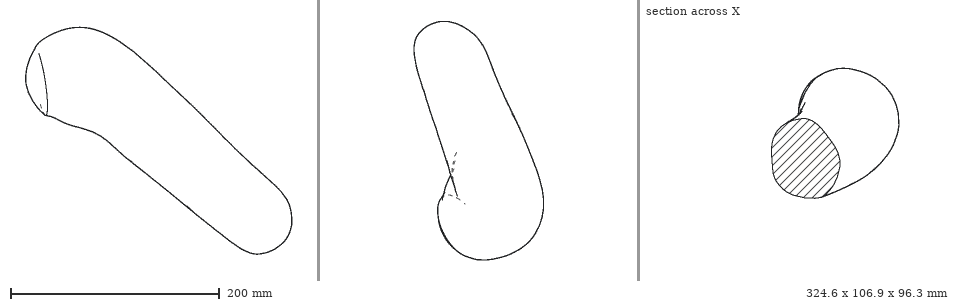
import cadquery as cq
import math

HEAD_SECTIONS = [
    ((2.2, 34), (56.5, 1.3), 17.5, 85, 0),
    ((0.2, 49), (71, 9.5), 9.5, 92.5, 0),
    ((5, 69), (84, 15), 4.5, 96, 0),
    ((18.5, 88.5), (98, 22), 1.8, 96, 0),
    ((48, 103.2), (112, 26.3), 0.3, 93, 0.04),
    ((88, 107.1), (121, 27.9), 0.1, 88, 0.08),
    ((120, 106.2), (133, 28.4), 0.5, 84.6, 0.1),
]
GRIP_SECTIONS = [
    (150, 28.5, 104.5, 1.3, 82.5, 0.1),
    (175, 28.3, 102.2, 2.5, 80.9, 0.1),
    (200, 27.8, 99.5, 3.8, 79.5, 0.1),
    (225, 27.2, 97.2, 5, 78, 0.1),
    (250, 26.5, 95.6, 6, 76.4, 0.09),
    (272, 25.9, 94.7, 7.4, 74.2, 0.08),
    (288, 25.6, 93.2, 9, 72.4, 0.07),
    (302, 26.5, 88.8, 11.3, 70.4, 0.06),
    (312, 29.5, 82, 16.5, 65.5, 0.06),
    (318, 34, 76.5, 22, 60.5, 0.06),
]
HEAD_DOME_HEIGHT = 13.9
HEAD_DOME_FULLNESS = 2
TIP_DOME_FULLNESS = 3
TIP_X = 324.52

CORNER_ANGLES = (38, 135, 225, 315)
POINT_STEPS = 4
SHOULDER_ANGLE = math.radians(45)
TANGENT_STEP = 0.001
DOME_RINGS = (0.25, 0.5, 0.75)
DOME_SPOKES = 12


class Section:
    """Upright oval between an outer and an inner plan point, with unequal diagonal shoulders."""

    def __init__(self, outer, inner, bottom, top, lean):
        self.lean = lean
        self.center = cq.Vector((outer[0] + inner[0]) / 2, (outer[1] + inner[1]) / 2, (bottom + top) / 2)
        self.across = cq.Vector(outer[0] - inner[0], outer[1] - inner[1], 0) / 2
        self.up = cq.Vector(0, 0, (top - bottom) / 2)
        self.forward = self.up.cross(self.across).normalized() * -1

    def point(self, angle, reach=1.0):
        """Point at a parameter angle, at a fraction of the way out to the oval."""
        shoulder = math.sin(2 * angle) ** 2 * math.cos(angle - SHOULDER_ANGLE)
        radius = reach * (1 - self.lean * shoulder)
        return self.center + self.across * (radius * math.cos(angle)) + self.up * (radius * math.sin(angle))

    def tangent(self, angle):
        """Direction of the outline at a parameter angle."""
        return self.point(angle + TANGENT_STEP) - self.point(angle - TANGENT_STEP)

    def wire(self):
        """Closed outline of four curves meeting at the diagonal corners."""
        edges = []
        next_corners = CORNER_ANGLES[1:] + (CORNER_ANGLES[0] + 360,)
        for start, end in zip(CORNER_ANGLES, next_corners):
            step = (end - start) / POINT_STEPS
            angles = [math.radians(start + step * i) for i in range(POINT_STEPS + 1)]
            points = [self.point(a) for a in angles]
            ends = [self.tangent(angles[0]).normalized(), self.tangent(angles[-1]).normalized()]
            edges.append(cq.Edge.makeSpline(points, tangents=ends))
        return cq.Wire.assembleEdges(edges)


def dome(section, boundary, height, fullness):
    """Rounded cap over an end section; a negative height bulges backward."""
    points = [section.center + section.forward * height]
    for reach in DOME_RINGS:
        rise = height * (1 - reach**fullness)
        for spoke in range(DOME_SPOKES):
            angle = 2 * math.pi * spoke / DOME_SPOKES
            points.append(section.point(angle, reach) + section.forward * rise)
    return cq.Face.makeNSidedSurface(boundary, points)


sections = [Section(*values) for values in HEAD_SECTIONS]
for x, inner_y, outer_y, bottom, top, lean in GRIP_SECTIONS:
    sections.append(Section((x, outer_y), (x, inner_y), bottom, top, lean))

loft = cq.Solid.makeLoft([s.wire() for s in sections])
sides = [f for f in loft.Faces() if f.geomType() != "PLANE"]
ends = sorted((f for f in loft.Faces() if f.geomType() == "PLANE"), key=lambda f: f.Center().x)
tip_dome_height = TIP_X - sections[-1].center.x
head_cap = dome(sections[0], ends[0].Edges(), -HEAD_DOME_HEIGHT, HEAD_DOME_FULLNESS)
tip_cap = dome(sections[-1], ends[1].Edges(), tip_dome_height, TIP_DOME_FULLNESS)
shell = cq.Shell.makeShell(sides + [head_cap, tip_cap])
result = cq.Workplane(obj=cq.Solid.makeSolid(shell))